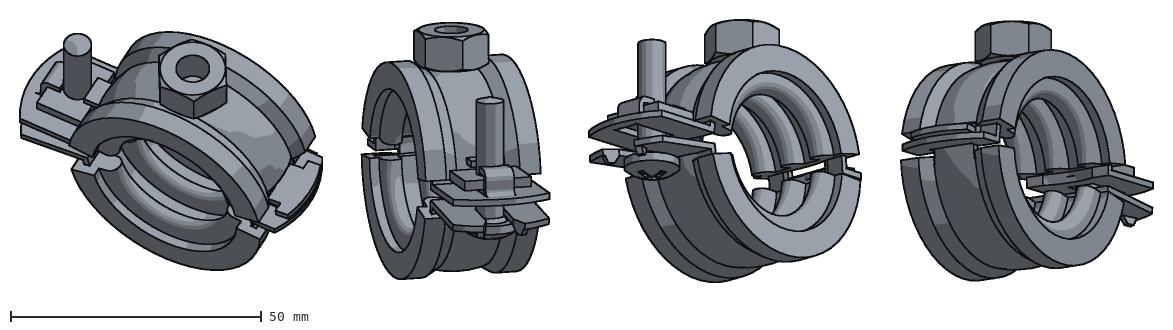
import cadquery as cq
import math


sheet = 1.25
strap_radius = 19.8
strap_half_width = 10.0
bead_radius = 20.85
bead_half_width = 6.05

left_tip = -36.4
right_tip = 26.6
tip_arc_radius = 20.0
tab_root = 19.5
lower_strap_turn = 6.7

lining_radius = 21.7
lining_half_width = 24.0 / 2
lining_bore_radius = 16.3
lining_span = 162.4
upper_lining_turn = 2.3
lower_lining_turn = 5.4
shoulder_y = 7.7
groove_y = 5.05
rib_radius = 2.0
rib_tip_radius = 12.4
rib_pitch = 8.0

screw_x = -26.0
screw_radius = 2.8
screw_shoulder_z = 19.1
screw_tip_z = 19.9
neck_top_z = -4.35
neck_base_radius = 3.4
head_top_z = -5.3
head_rim_z = -7.0
head_bottom_z = -9.0
head_radius = 11.0 / 2
recess_width = 1.2
recess_depth = 0.7

plate_length = 10.1
plate_width = 13.85
plate_thickness = 1.95
plate_bottom_z = 2.3

hook_half_width = 2.95
hook_top_z = 6.3
hook_inner_x = -31.5
hook_end_x = -28.4
hook_root_radius = 1.15
hook_crown_radius = 2.0
lug_end_x = -23.0
screw_clearance_radius = 2.9

tongue_half_width = 4.85
hinge_slot_half_width = 5.05
hinge_slot_end_x = 21.4
hinge_slot_top_z = 4.7
cross_head_start_x = 22.55
cross_head_half_width = 6.9
cross_head_lift = 0.22
lower_shoulder_drop = 5.05

notch_half_width = 2.85
mouth_half_width = 4.55
mouth_depth = 3.6
lip_thickness = 1.4
lip_drop = 1.5
lip_top_length = 4.1
lip_bottom_length = 1.4
lip_bottom_start = 1.5

hex_flats = 13.2
hex_height = 7.1
hex_hole_radius = 6.6 / 2
hex_chamfer_radius = 6.5
hex_chamfer_angle = 30.0

cut_margin = 0.6


def turn(body, angle):
    """Turn a body about the pipe axis, from +X towards +Z."""
    return body.rotate((0, 0, 0), (0, -1, 0), angle)


def ring_sector(section, start, span):
    """Revolve a (radius, y) section about the pipe axis over part of a circle."""
    return turn(section.revolve(span, (0, 0), (0, -1)), start)


def block(x_range, y_range, z_range):
    size = [high - low for low, high in (x_range, y_range, z_range)]
    corner = (x_range[0], y_range[0], z_range[0])
    return cq.Workplane("XY").box(*size, centered=False).translate(corner)



def strap_section():
    """Flat edge bands with a shallow arched bead between them."""
    inner = strap_radius - sheet
    return (
        cq.Workplane("XY")
        .moveTo(inner, -strap_half_width)
        .lineTo(strap_radius, -strap_half_width)
        .lineTo(strap_radius, -bead_half_width)
        .threePointArc((bead_radius, 0), (strap_radius, bead_half_width))
        .lineTo(strap_radius, strap_half_width)
        .lineTo(inner, strap_half_width)
        .lineTo(inner, bead_half_width)
        .threePointArc((bead_radius - sheet, 0), (inner, -bead_half_width))
        .close()
    )


def bead_height_at(y):
    """Outer radius of the bead at a distance y from its crest."""
    rise = bead_radius - strap_radius
    arch_radius = (bead_half_width**2 + rise**2) / (2 * rise)
    return bead_radius - arch_radius + math.sqrt(arch_radius**2 - y**2)


def tab_plate(tip_x, bottom_z):
    """Flat tab with a rounded tip, reaching outwards from the strap to tip_x."""
    side = math.copysign(1, tip_x)
    sag = tip_arc_radius - math.sqrt(tip_arc_radius**2 - strap_half_width**2)
    corner_x = tip_x - side * sag
    return (
        cq.Workplane("XY", origin=(0, 0, bottom_z))
        .moveTo(side * tab_root, -strap_half_width)
        .lineTo(corner_x, -strap_half_width)
        .threePointArc((tip_x, 0), (corner_x, strap_half_width))
        .lineTo(side * tab_root, strap_half_width)
        .close()
        .extrude(sheet)
    )


def hook():
    """Strip bent up out of the left tab and over the plate nut."""
    outer_x = hook_inner_x - sheet
    root_x = outer_x - hook_root_radius
    root_z = sheet + hook_root_radius
    root_outer_radius = hook_root_radius + sheet
    crown_x = outer_x + hook_crown_radius
    crown_z = hook_top_z - hook_crown_radius
    crown_inner_radius = hook_crown_radius - sheet
    diagonal = math.sqrt(0.5)
    return (
        cq.Workplane("XZ", origin=(0, hook_half_width, 0))
        .moveTo(root_x, 0)
        .lineTo(root_x, sheet)
        .threePointArc(
            (root_x + hook_root_radius * diagonal, root_z - hook_root_radius * diagonal),
            (outer_x, root_z),
        )
        .lineTo(outer_x, crown_z)
        .threePointArc(
            (crown_x - hook_crown_radius * diagonal, crown_z + hook_crown_radius * diagonal),
            (crown_x, hook_top_z),
        )
        .lineTo(hook_end_x, hook_top_z)
        .lineTo(hook_end_x, hook_top_z - sheet)
        .lineTo(crown_x, hook_top_z - sheet)
        .threePointArc(
            (crown_x - crown_inner_radius * diagonal, crown_z + crown_inner_radius * diagonal),
            (hook_inner_x, crown_z),
        )
        .lineTo(hook_inner_x, root_z)
        .threePointArc(
            (root_x + root_outer_radius * diagonal, root_z - root_outer_radius * diagonal),
            (root_x, 0),
        )
        .close()
        .extrude(2 * hook_half_width)
    )


def make_upper_strap():
    hook_y = (-hook_half_width, hook_half_width)
    strap = ring_sector(strap_section(), 0, 180)
    strap = strap.union(tab_plate(left_tip, 0)).union(tab_plate(right_tip, 0))

    window_start_x = hook_inner_x - sheet - hook_root_radius
    window = block((window_start_x, lug_end_x), hook_y, (-cut_margin, sheet + cut_margin))
    lug = block((lug_end_x, -tab_root), hook_y, (hook_top_z - sheet, hook_top_z))
    strap = strap.cut(window).union(hook()).union(lug)

    screw_clearance = (
        cq.Workplane("XY", origin=(screw_x, 0, sheet))
        .circle(screw_clearance_radius)
        .extrude(hook_top_z)
    )
    hinge_slot = block(
        (strap_radius - 2 * sheet, hinge_slot_end_x),
        (-hinge_slot_half_width, hinge_slot_half_width),
        (-cut_margin, hinge_slot_top_z),
    )
    return strap.cut(screw_clearance).cut(hinge_slot)


def screw_notch():
    """Round-ended notch, open at the tab tip with a flared mouth, deep enough to trim the lips."""
    neck_x = left_tip + mouth_depth
    return (
        cq.Workplane("XY", origin=(0, 0, cut_margin))
        .moveTo(left_tip, -mouth_half_width)
        .lineTo(neck_x, -notch_half_width)
        .lineTo(screw_x, -notch_half_width)
        .threePointArc((screw_x + notch_half_width, 0), (screw_x, notch_half_width))
        .lineTo(neck_x, notch_half_width)
        .lineTo(left_tip, mouth_half_width)
        .close()
        .extrude(-(sheet + lip_drop + 2 * cut_margin))
    )


def mouth_lip():
    """Trapezoidal lip below the tab, standing along the +Y edge of the notch mouth."""
    flare_angle = math.degrees(math.atan2(mouth_half_width - notch_half_width, mouth_depth))
    tip_sag = tip_arc_radius - math.sqrt(tip_arc_radius**2 - (mouth_half_width + lip_thickness) ** 2)
    lip = (
        cq.Workplane("XZ")
        .moveTo(tip_sag, -sheet / 2)
        .lineTo(tip_sag, -sheet)
        .lineTo(lip_bottom_start, -sheet - lip_drop)
        .lineTo(lip_bottom_start + lip_bottom_length, -sheet - lip_drop)
        .lineTo(lip_top_length, -sheet)
        .lineTo(lip_top_length, -sheet / 2)
        .close()
        .extrude(-lip_thickness)
    )
    return lip.rotate((0, 0, 0), (0, 0, 1), -flare_angle).translate((left_tip, mouth_half_width, 0))


def make_lower_strap():
    strap = ring_sector(strap_section(), 180, 180)
    lip = mouth_lip()
    tab = tab_plate(left_tip, -sheet).union(lip).union(lip.mirror("XZ"))
    strap = strap.union(tab.cut(screw_notch()))

    edge_x = (strap_radius - 2 * sheet, bead_radius + cut_margin)
    edge_z = (-lower_shoulder_drop, cut_margin)
    outer_y = strap_half_width + cut_margin
    strap = strap.cut(block(edge_x, (tongue_half_width, outer_y), edge_z))
    strap = strap.cut(block(edge_x, (-outer_y, -tongue_half_width), edge_z))

    plate_z = (cross_head_lift - sheet, cross_head_lift)
    tongue = block((tab_root, cross_head_start_x), (-tongue_half_width, tongue_half_width), plate_z)
    head = block(
        (cross_head_start_x, right_tip),
        (-cross_head_half_width, cross_head_half_width),
        plate_z,
    )
    cross_head = tab_plate(right_tip, plate_z[0]).intersect(tongue.union(head))
    return turn(strap.union(cross_head), lower_strap_turn)



def lining_section():
    """Two flanges joined by a web; the outline crosses the strap, which is cut out later."""
    groove_radius = bead_height_at(groove_y)
    return (
        cq.Workplane("XY")
        .moveTo(lining_bore_radius, -lining_half_width)
        .lineTo(lining_radius, -lining_half_width)
        .lineTo(lining_radius, -shoulder_y)
        .lineTo(groove_radius, -groove_y)
        .lineTo(groove_radius, groove_y)
        .lineTo(lining_radius, shoulder_y)
        .lineTo(lining_radius, lining_half_width)
        .lineTo(lining_bore_radius, lining_half_width)
        .close()
    )


def rib_section(y):
    """Inner rib with straight sides and a round nose."""
    nose_centre_radius = rib_tip_radius + rib_radius
    root_radius = lining_bore_radius + cut_margin
    return (
        cq.Workplane("XY")
        .moveTo(root_radius, y - rib_radius)
        .lineTo(nose_centre_radius, y - rib_radius)
        .threePointArc((rib_tip_radius, y), (nose_centre_radius, y + rib_radius))
        .lineTo(root_radius, y + rib_radius)
        .close()
    )


def make_lining(middle_angle):
    start = middle_angle - lining_span / 2
    lining = ring_sector(lining_section(), start, lining_span)
    for y in (-rib_pitch, 0, rib_pitch):
        lining = lining.union(ring_sector(rib_section(y), start, lining_span))
    strap_space = ring_sector(strap_section(), 0, 360)
    return lining.cut(strap_space)



def make_screw():
    screw = (
        cq.Workplane("XZ")
        .moveTo(0, screw_tip_z)
        .lineTo(screw_radius, screw_shoulder_z)
        .lineTo(screw_radius, neck_top_z)
        .lineTo(neck_base_radius, head_top_z)
        .lineTo(head_radius, head_top_z)
        .lineTo(head_radius, head_rim_z)
    )
    dome_height = head_rim_z - head_bottom_z
    dome_radius = (head_radius**2 + dome_height**2) / (2 * dome_height)
    half_angle = math.asin(head_radius / dome_radius) / 2
    dome_centre_z = head_bottom_z + dome_radius
    dome_middle = (
        dome_radius * math.sin(half_angle),
        dome_centre_z - dome_radius * math.cos(half_angle),
    )
    screw = screw.threePointArc(dome_middle, (0, head_bottom_z)).close()
    screw = screw.revolve(360, (0, 0), (0, 1))

    recess_z = head_bottom_z + recess_depth / 2
    for length, width in ((2 * head_radius, recess_width), (recess_width, 2 * head_radius)):
        screw = screw.cut(cq.Workplane("XY", origin=(0, 0, recess_z)).box(length, width, recess_depth))
    return screw.translate((screw_x, 0, 0))


def make_plate_nut():
    plate_middle_x = hook_inner_x + plate_length / 2
    plate = (
        cq.Workplane("XY", origin=(plate_middle_x, 0, plate_bottom_z))
        .rect(plate_length, plate_width)
        .extrude(plate_thickness)
    )
    hole = (
        cq.Workplane("XY", origin=(screw_x, 0, plate_bottom_z))
        .circle(screw_radius)
        .extrude(plate_thickness)
    )
    return plate.cut(hole)


def make_hex_nut():
    """Nut standing on the crest of the upper strap, with both ends chamfered."""
    corner_radius = hex_flats / math.sqrt(3)
    chamfer_height = (corner_radius - hex_chamfer_radius) * math.tan(math.radians(hex_chamfer_angle))
    hexagon = cq.Workplane("XY").polygon(6, 2 * corner_radius).circle(hex_hole_radius).extrude(hex_height)
    chamfered_envelope = (
        cq.Workplane("XZ")
        .lineTo(hex_chamfer_radius, 0)
        .lineTo(corner_radius, chamfer_height)
        .lineTo(corner_radius, hex_height - chamfer_height)
        .lineTo(hex_chamfer_radius, hex_height)
        .lineTo(0, hex_height)
        .close()
        .revolve(360, (0, 0), (0, 1))
    )
    return hexagon.intersect(chamfered_envelope).translate((0, 0, bead_radius))


screw = make_screw()
plate_nut = make_plate_nut()
hex_nut = make_hex_nut()
upper_strap = make_upper_strap()
lower_strap = make_lower_strap().cut(screw)
upper_lining = make_lining(90 + upper_lining_turn).cut(hex_nut)
lower_lining = make_lining(270 + lower_lining_turn)

result = cq.Compound.makeCompound(
    [
        upper_strap.val(),
        lower_strap.val(),
        upper_lining.val(),
        lower_lining.val(),
        screw.val(),
        plate_nut.val(),
        hex_nut.val(),
    ]
)